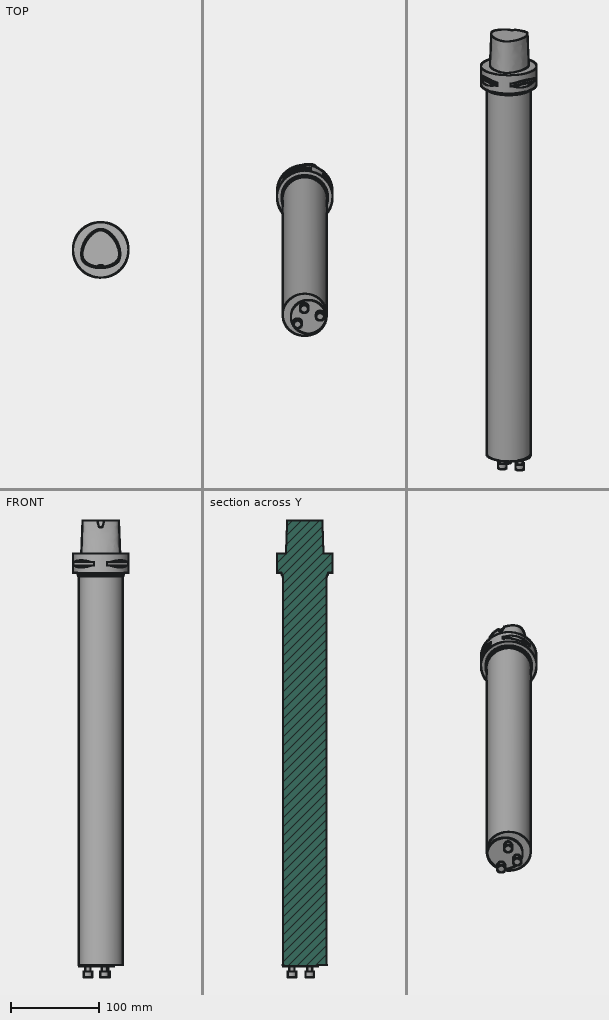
import cadquery as cq
import math

total_height = 518.0
flange_top = 480.5
flange_bottom = 458.5
collar_bottom = 457.0
body_top = 454.5
body_bottom = 14.0
boss_bottom = 12.5
head_height = 6.5

flange_diameter = 63.0
collar_diameter = 53.0
body_diameter = 50.0
boss_diameter = 40.0
boss_offset = -4.5
stem_diameter = 6.0
head_diameter = 10.0
head_chamfer = 0.5
pin_side = 10.0
pin_positions = [(-14.5, pin_side), (5.5, pin_side), (4.0, -pin_side)]

shank_top_radius = 20.5
shank_taper = 0.04
lobe_height = 1.5
lobe_count = 3
points_per_lobe = 12

groove_count = 4
groove_height = 469.0
groove_opening = 8.5
groove_slot_width = 3.5
groove_depth = 4.5
bevel_depth = 3.0

notch_diameter = 10.0
notch_length = 8.0
notch_depth = 2.0

flange_radius = flange_diameter / 2


def lobed_outline(mean_radius):
    """Constant-width curve with one lobe toward +Y, from its support function."""
    points = []
    count = lobe_count * points_per_lobe
    for i in range(count):
        angle = 2 * math.pi * i / count
        support = mean_radius + lobe_height * math.cos(lobe_count * angle)
        slope = -lobe_count * lobe_height * math.sin(lobe_count * angle)
        x = -support * math.sin(angle) - slope * math.cos(angle)
        y = support * math.cos(angle) - slope * math.sin(angle)
        points.append((x, y))
    return points


def make_shank():
    length = total_height - flange_top
    base_radius = shank_top_radius + shank_taper * length
    return (
        cq.Workplane("XY", origin=(0, 0, flange_top))
        .spline(lobed_outline(base_radius), periodic=True)
        .close()
        .workplane(offset=length)
        .spline(lobed_outline(shank_top_radius), periodic=True)
        .close()
        .loft(ruled=True)
    )


def make_round_body():
    """Flange, conical collar and long cylinder turned as one profile."""
    profile = [
        (0, body_bottom),
        (body_diameter / 2, body_bottom),
        (body_diameter / 2, body_top),
        (collar_diameter / 2, collar_bottom),
        (collar_diameter / 2, flange_bottom),
        (flange_radius, flange_bottom),
        (flange_radius, flange_top),
        (0, flange_top),
    ]
    return cq.Workplane("XZ").polyline(profile).close().revolve(360, (0, 0), (0, 1))


def make_groove(angle):
    """Straight bevelled groove across the flange, facing the given direction."""
    floor = flange_radius - groove_depth
    bevel_start = flange_radius - bevel_depth
    slot_bottom = groove_height - groove_slot_width / 2
    slot_top = groove_height + groove_slot_width / 2
    profile = [
        (floor, slot_bottom),
        (bevel_start, slot_bottom),
        (flange_radius, groove_height - groove_opening / 2),
        (flange_radius, groove_height + groove_opening / 2),
        (bevel_start, slot_top),
        (floor, slot_top),
    ]
    groove = cq.Workplane("XZ").polyline(profile).close().extrude(flange_radius, both=True)
    return groove.rotate((0, 0, 0), (0, 0, 1), angle)


def make_notch():
    """Inclined cylinder that runs out of the -Y shank side below the top face."""
    face_y = lobe_height - shank_top_radius
    pivot = (0, face_y, total_height - notch_length)
    tilt = math.degrees(math.atan2(notch_depth, notch_length))
    cutter = (
        cq.Workplane("XY", origin=(0, face_y - notch_diameter / 2, pivot[2]))
        .circle(notch_diameter / 2)
        .extrude(2 * notch_length)
    )
    return cutter.rotate(pivot, (1, pivot[1], pivot[2]), -tilt)


def make_pin(x, y):
    """Headed pin hanging below the boss."""
    head = cq.Workplane("XY").center(x, y).circle(head_diameter / 2).extrude(head_height)
    head = head.faces("<Z").chamfer(head_chamfer)
    stem = cq.Workplane("XY").center(x, y).circle(stem_diameter / 2).extrude(body_bottom)
    return head.union(stem)


result = make_round_body().union(make_shank())

boss = (
    cq.Workplane("XY", origin=(boss_offset, 0, boss_bottom))
    .circle(boss_diameter / 2)
    .extrude(body_bottom - boss_bottom)
)
result = result.union(boss)

for pin_x, pin_y in pin_positions:
    result = result.union(make_pin(pin_x, pin_y))

for i in range(groove_count):
    result = result.cut(make_groove((i + 0.5) * 360 / groove_count))

result = result.cut(make_notch())